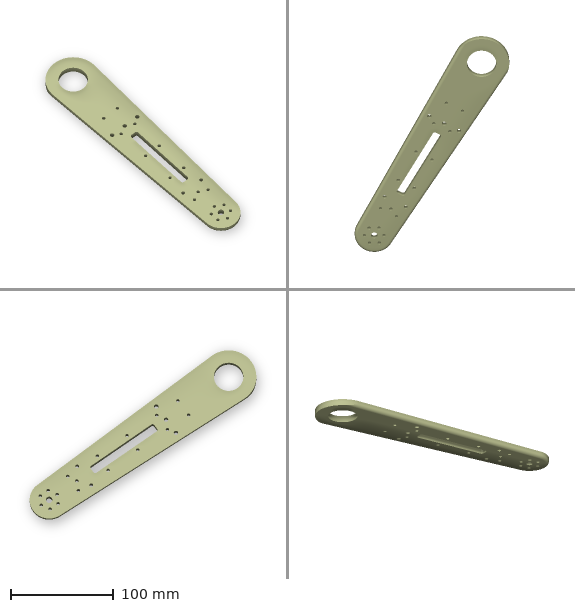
import cadquery as cq
import math

THICKNESS = 6.35
LARGE_END_RADIUS = 26.99
SMALL_END_RADIUS = 19.05
OVERALL_LENGTH = 261.11
END_SPACING = OVERALL_LENGTH - LARGE_END_RADIUS - SMALL_END_RADIUS
EDGE_ROUND_RADIUS = 2.85

BORE_DIAMETER = 28.7

SLOT_LENGTH = 76.2
SLOT_WIDTH = 8.7
SLOT_CENTRE_X = 125.6
SLOT_CORNER_RADIUS = 2.0

PIVOT_DIAMETER = 6.35
RING_HOLE_COUNT = 6
RING_RADIUS = 9.525
SMALL_HOLE_DIAMETER = 3.3

ROW_OFFSET_Y = 8.95
ROW_START_X = 79.8
ROW_PITCH = 35.56
ROW_HOLE_COUNT = 4
REAR_HOLE_GAP = 25.4

REAR_MOUNT_X = 75
REAR_MOUNT_OFFSET_Y = 16.5
REAR_MOUNT_DIAMETER = 4.3
FRONT_MOUNT_X = 173.1
FRONT_MOUNT_OFFSET_Y = 11.8
FRONT_MOUNT_DIAMETER = 3.7
FRONT_CENTRE_HOLE_X = 181.9

LARGE_CORNER = (0, LARGE_END_RADIUS)
SMALL_CORNER = (END_SPACING, SMALL_END_RADIUS)
SMALL_TIP = (END_SPACING + SMALL_END_RADIUS, 0)
TAPER_SLOPE = (LARGE_END_RADIUS - SMALL_END_RADIUS) / END_SPACING


def mirrored(point):
    return point[0], -point[1]


def rounded_blank():
    """Tapered blank, square behind the large end, with its lower side and tip edges rounded."""
    back_x = -2 * LARGE_END_RADIUS
    back_corner = (back_x, LARGE_END_RADIUS - back_x * TAPER_SLOPE)
    blank = (
        cq.Workplane("XY")
        .moveTo(*back_corner)
        .lineTo(*SMALL_CORNER)
        .threePointArc(SMALL_TIP, mirrored(SMALL_CORNER))
        .lineTo(*mirrored(back_corner))
        .close()
        .extrude(THICKNESS)
    )
    return blank.faces("<Z").edges("not <X").fillet(EDGE_ROUND_RADIUS)


def arm_outline():
    """Plain prism of the arm: two end arcs joined by straight sides."""
    return (
        cq.Workplane("XY")
        .moveTo(*LARGE_CORNER)
        .lineTo(*SMALL_CORNER)
        .threePointArc(SMALL_TIP, mirrored(SMALL_CORNER))
        .lineTo(*mirrored(LARGE_CORNER))
        .threePointArc((-LARGE_END_RADIUS, 0), LARGE_CORNER)
        .close()
        .extrude(THICKNESS)
    )


def through_holes(points, diameter):
    return cq.Workplane("XY").pushPoints(points).circle(diameter / 2).extrude(THICKNESS)


def slot():
    return (
        cq.Workplane("XY")
        .center(SLOT_CENTRE_X, 0)
        .rect(SLOT_LENGTH, SLOT_WIDTH)
        .extrude(THICKNESS)
        .edges("|Z")
        .fillet(SLOT_CORNER_RADIUS)
    )


def ring_points():
    angles = [2 * math.pi * i / RING_HOLE_COUNT for i in range(RING_HOLE_COUNT)]
    return [(END_SPACING + RING_RADIUS * math.cos(a), RING_RADIUS * math.sin(a)) for a in angles]


def row_points():
    row_x = [ROW_START_X - REAR_HOLE_GAP]
    row_x += [ROW_START_X + i * ROW_PITCH for i in range(ROW_HOLE_COUNT)]
    return [(x, side * ROW_OFFSET_Y) for x in row_x for side in (-1, 1)]


rear_mount_points = [(REAR_MOUNT_X, i * REAR_MOUNT_OFFSET_Y) for i in (-1, 0, 1)]
front_mount_points = [(FRONT_MOUNT_X, i * FRONT_MOUNT_OFFSET_Y) for i in (-1, 1)]
small_hole_points = ring_points() + row_points() + [(FRONT_CENTRE_HOLE_X, 0)]

result = (
    rounded_blank()
    .intersect(arm_outline())
    .cut(slot())
    .cut(through_holes([(0, 0)], BORE_DIAMETER))
    .cut(through_holes([(END_SPACING, 0)], PIVOT_DIAMETER))
    .cut(through_holes(small_hole_points, SMALL_HOLE_DIAMETER))
    .cut(through_holes(rear_mount_points, REAR_MOUNT_DIAMETER))
    .cut(through_holes(front_mount_points, FRONT_MOUNT_DIAMETER))
)